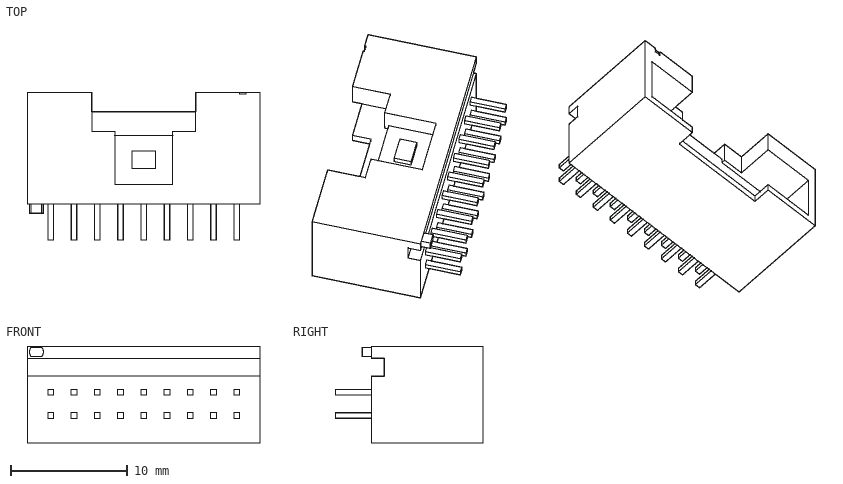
import cadquery as cq


length = 20.0
depth = 9.6
height = 8.3

cavity_depth = 3.7
roof_thickness = 2.37
floor_thickness = 0.8
side_thickness = 0.8
cavity_back = depth - cavity_depth
roof_bottom = height - roof_thickness
cavity_width = length - 2 * side_thickness
cavity_height = roof_bottom - floor_thickness

notch_width = 8.9
roof_notch_depth = 3.35
floor_notch_depth = 1.65

pocket_width = 4.95
pocket_back = 1.7
pocket_depth = 1.86
pad_width = 2.05
pad_length = 1.5
pad_height = 0.52
pad_centre_y = 3.8
pocket_bottom = height - pocket_depth

groove_bottom = 5.75
groove_top = 7.27
groove_depth = 1.1

tails_per_row = 9
row_count = 2
tail_pitch = 2.0
row_pitch = 2.0
tail_width = 0.5
tail_length = 3.1
rows_centre_z = floor_thickness + cavity_height / 2

peg_flat_width = 0.9
peg_side_bulge = 0.15
peg_height = 0.8
peg_length = 0.8
peg_inset_x = 0.78
peg_centre_x = -length / 2 + peg_inset_x
peg_drop = 0.47
peg_centre_z = height - peg_drop

nick_width = 0.55
nick_depth = 0.12
nick_height = 0.5
nick_inset_x = 1.48
nick_centre_x = length / 2 - nick_inset_x


def block(width, y_start, y_end, z_start, z_end, centre_x=0.0):
    """Box centred on centre_x in X that spans the given Y and Z ranges."""
    size_y = y_end - y_start
    size_z = z_end - z_start
    box = cq.Workplane("XY").box(width, size_y, size_z, centered=(True, False, False))
    return box.translate((centre_x, y_start, z_start))


def housing():
    body = block(length, 0, depth, 0, height)
    cavity = block(cavity_width, cavity_back, depth, floor_thickness, roof_bottom)
    roof_notch = block(notch_width, depth - roof_notch_depth, depth, roof_bottom, height)
    floor_notch = block(notch_width, depth - floor_notch_depth, depth, 0, floor_thickness)
    groove = block(length, 0, groove_depth, groove_bottom, groove_top)
    nick = block(nick_width, depth - nick_depth, depth, height - nick_height, height, nick_centre_x)
    return body.cut(cavity).cut(roof_notch).cut(floor_notch).cut(groove).cut(nick)


def latch_pocket():
    """Volume to remove: a blind pocket in the base that runs on through the roof above the cavity."""
    blind = block(pocket_width, pocket_back, cavity_back, pocket_bottom, height)
    through = block(pocket_width, cavity_back, depth - roof_notch_depth, roof_bottom, height)
    return blind.union(through)


def latch_pad():
    y_start = pad_centre_y - pad_length / 2
    return block(pad_width, y_start, y_start + pad_length, pocket_bottom, pocket_bottom + pad_height)


def solder_tails():
    return (
        cq.Workplane("XZ")
        .center(0, rows_centre_z)
        .rarray(tail_pitch, row_pitch, tails_per_row, row_count)
        .rect(tail_width, tail_width)
        .extrude(tail_length)
    )


def orientation_peg():
    """Peg with flat top and bottom and bulging sides."""
    half_flat = peg_flat_width / 2
    half_total = half_flat + peg_side_bulge
    half_height = peg_height / 2
    return (
        cq.Workplane("XZ")
        .center(peg_centre_x, peg_centre_z)
        .moveTo(-half_flat, -half_height)
        .lineTo(half_flat, -half_height)
        .threePointArc((half_total, 0), (half_flat, half_height))
        .lineTo(-half_flat, half_height)
        .threePointArc((-half_total, 0), (-half_flat, -half_height))
        .close()
        .extrude(peg_length)
    )


result = (
    housing()
    .cut(latch_pocket())
    .union(latch_pad())
    .union(solder_tails())
    .union(orientation_peg())
)